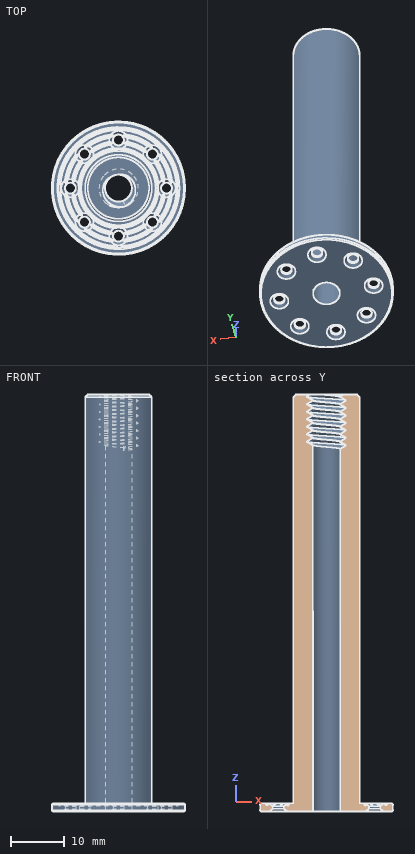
import cadquery as cq
import math

total_height = 78.12
flange_diameter = 25.0
flange_thickness = 1.6
flange_chamfer = 0.25
tube_diameter = 12.5
tube_chamfer = 0.5

groove_count = 4
groove_pitch = 1.3
first_groove_radius = 7.25
groove_width = 0.6
groove_depth = 0.45

hole_count = 8
hole_circle_radius = 9.0
hole_diameter = 2.0
countersink_diameter = 3.4
countersink_angle = 100

bore_diameter = 5.0
thread_pitch = 1.4
thread_root_diameter = 7.28
thread_angle = 60
thread_turns = 8
thread_exit_angle = -70
thread_overlap = 0.06


def make_body():
    flange = cq.Workplane("XY").circle(flange_diameter / 2).extrude(flange_thickness)
    flange = flange.edges().chamfer(flange_chamfer)
    tube = cq.Workplane("XY").circle(tube_diameter / 2).extrude(total_height)
    tube = tube.faces(">Z").edges().chamfer(tube_chamfer)
    return flange.union(tube)


def make_groove(radius):
    """V-shaped ring, centred on the given radius, sunk into the flange top."""
    profile = (
        cq.Workplane("XZ")
        .moveTo(radius - groove_width / 2, flange_thickness)
        .lineTo(radius, flange_thickness - groove_depth)
        .lineTo(radius + groove_width / 2, flange_thickness)
        .close()
    )
    return profile.revolve(360, (0, 0, 0), (0, 1, 0))


def make_flange_holes():
    """Ring of hole cutters, each waisted between two equal countersinks."""
    hole_radius = hole_diameter / 2
    mouth_radius = countersink_diameter / 2
    sink_depth = (mouth_radius - hole_radius) / math.tan(math.radians(countersink_angle / 2))
    hole = (
        cq.Workplane("XZ")
        .moveTo(0, 0)
        .lineTo(mouth_radius, 0)
        .lineTo(hole_radius, sink_depth)
        .lineTo(hole_radius, flange_thickness - sink_depth)
        .lineTo(mouth_radius, flange_thickness)
        .lineTo(0, flange_thickness)
        .close()
        .revolve(360, (0, 0, 0), (0, 1, 0))
        .val()
    )
    ring = cq.Workplane("XY").polarArray(hole_circle_radius, 0, 360, hole_count)
    return ring.eachpoint(lambda location: hole.moved(location), combine=False)


def make_helix(radius, height_offset, length):
    wire = cq.Wire.makeHelix(thread_pitch, length, radius)
    return wire.translate(cq.Vector(0, 0, height_offset)).Edges()[0]


def make_thread():
    """Helical V ridge that cuts the thread; it runs out through the top face."""
    root_radius = thread_root_diameter / 2
    inner_radius = bore_diameter / 2 - thread_overlap
    half_width = (root_radius - inner_radius) * math.tan(math.radians(thread_angle / 2))
    length = thread_turns * thread_pitch
    helices = [
        make_helix(inner_radius, -half_width, length),
        make_helix(root_radius, 0, length),
        make_helix(inner_radius, half_width, length),
    ]
    faces = []
    for index, helix in enumerate(helices):
        next_helix = helices[(index + 1) % len(helices)]
        faces.append(cq.Face.makeRuledSurface(helix, next_helix))
    for end in (0, 1):
        corners = [helix.positionAt(end) for helix in helices]
        faces.append(cq.Face.makeFromWires(cq.Wire.makePolygon(corners, close=True)))
    ridge = cq.Workplane(cq.Solid.makeSolid(cq.Shell.makeShell(faces)))
    ridge = ridge.rotate((0, 0, 0), (0, 0, 1), thread_exit_angle)
    return ridge.translate((0, 0, total_height + thread_pitch - length))


result = make_body()
for index in range(groove_count):
    result = result.cut(make_groove(first_groove_radius + index * groove_pitch))
result = result.cut(make_flange_holes())
bore = cq.Workplane("XY").circle(bore_diameter / 2).extrude(total_height)
result = result.cut(bore).cut(make_thread())